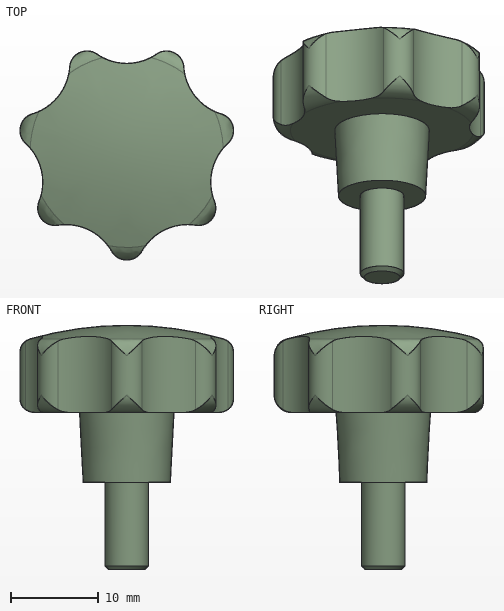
import cadquery as cq
import math


stud_length = 10.0
hub_height = 8.0
head_height = 10.0
head_bottom = stud_length + hub_height
head_top = head_bottom + head_height

stud_radius = 2.5
stud_chamfer = 0.45
hub_bottom_radius = 5.0
hub_taper = math.radians(3.0)
hub_top_radius = hub_bottom_radius + hub_height * math.tan(hub_taper)

head_radius = 12.5
dome_radius = 40.0
rim_fillet = 2.0
lobe_count = 7
lobe_radius = 2.0
flute_radius = 6.0
first_lobe_angle = math.radians(-90.0)
lobe_pitch = 2 * math.pi / lobe_count

lobe_center_radius = head_radius - lobe_radius
half_chord = lobe_center_radius * math.sin(lobe_pitch / 2)
flute_center_radius = lobe_center_radius * math.cos(lobe_pitch / 2) + math.sqrt(
    (lobe_radius + flute_radius) ** 2 - half_chord**2
)
valley_radius = flute_center_radius - flute_radius


def polar(radius, angle):
    return (radius * math.cos(angle), radius * math.sin(angle))


def tangent_point(lobe_angle, flute_angle):
    """Point where a lobe arc runs into the neighbouring flute arc."""
    lobe_x, lobe_y = polar(lobe_center_radius, lobe_angle)
    flute_x, flute_y = polar(flute_center_radius, flute_angle)
    share = lobe_radius / (lobe_radius + flute_radius)
    return (lobe_x + share * (flute_x - lobe_x), lobe_y + share * (flute_y - lobe_y))


def make_star_prism():
    """Prism with the lobed outline, over the full height of the head."""
    half_pitch = lobe_pitch / 2
    outline = cq.Workplane("XY").workplane(offset=head_bottom)
    outline = outline.moveTo(*tangent_point(first_lobe_angle, first_lobe_angle - half_pitch))
    for index in range(lobe_count):
        lobe_angle = first_lobe_angle + index * lobe_pitch
        flute_angle = lobe_angle + half_pitch
        next_lobe_angle = lobe_angle + lobe_pitch
        outline = outline.threePointArc(
            polar(head_radius, lobe_angle), tangent_point(lobe_angle, flute_angle)
        )
        outline = outline.threePointArc(
            polar(valley_radius, flute_angle), tangent_point(next_lobe_angle, flute_angle)
        )
    return outline.close().extrude(head_height)


def make_domed_disc():
    """Round disc with a spherical top and rounded rims."""
    dome_center = head_top - dome_radius
    rim_height = dome_center + math.sqrt(dome_radius**2 - head_radius**2)
    mid_radius = head_radius / 2
    mid_height = dome_center + math.sqrt(dome_radius**2 - mid_radius**2)
    profile = (
        cq.Workplane("XZ")
        .moveTo(0, head_bottom)
        .lineTo(head_radius, head_bottom)
        .lineTo(head_radius, rim_height)
        .threePointArc((mid_radius, mid_height), (0, head_top))
        .close()
    )
    disc = profile.revolve(360, (0, 0, 0), (0, 1, 0))
    return disc.faces("%CYLINDER").edges("%CIRCLE").fillet(rim_fillet)


def make_hub_and_stud():
    """Chamfered stud running into a hub that widens towards the head."""
    profile = (
        cq.Workplane("XZ")
        .moveTo(0, 0)
        .lineTo(stud_radius - stud_chamfer, 0)
        .lineTo(stud_radius, stud_chamfer)
        .lineTo(stud_radius, stud_length)
        .lineTo(hub_bottom_radius, stud_length)
        .lineTo(hub_top_radius, head_bottom)
        .lineTo(0, head_bottom)
        .close()
    )
    return profile.revolve(360, (0, 0, 0), (0, 1, 0))


head = make_domed_disc().intersect(make_star_prism())
result = head.union(make_hub_and_stud())